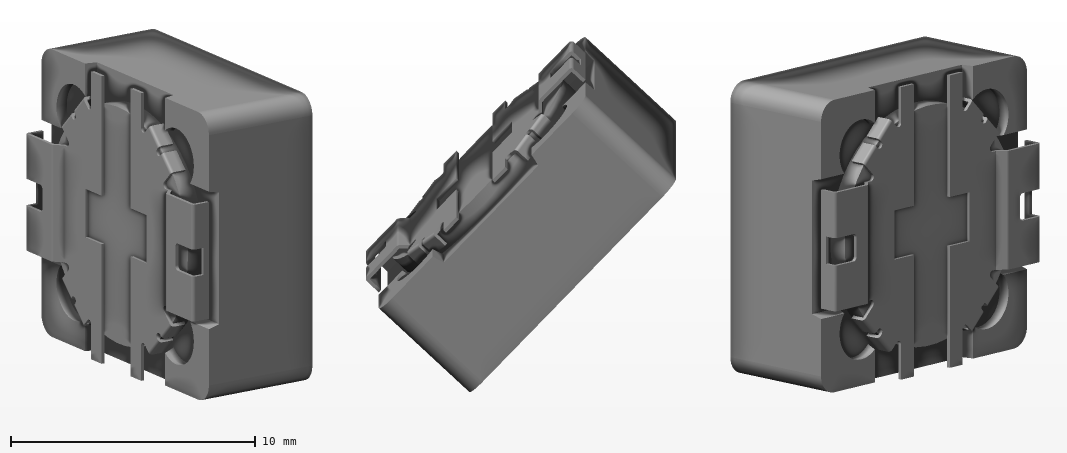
import cadquery as cq
import math


SIDE = 12.3
CORNER_RADIUS = 0.8
SHIELD_DEPTH = 5.1
SHIELD_FRONT_Y = 0.3
DRUM_RADIUS = 5.05
DRUM_DEPTH = 5.5
RECESS_DEPTH = 0.5
CHANNEL_MOUTH_WIDTH = 5.88
CHANNEL_FLOOR_WIDTH = 5.62
POCKET_RADIUS = 1.29
POCKET_OFFSET = 3.75

SHEET = 0.15
HALF = SIDE / 2
PLATE_INNER_X = 1.07
NOTCH_X = 2.24
NOTCH_HALF_HEIGHT = 1.03
ARM_OUTER_X = 1.83
RELIEF_RADIUS = 0.16

TAB_SPANS = [(-0.53, 0.42), (0.74, 1.72)]
TAB_OUTER_DISTANCE = DRUM_RADIUS + SHEET
TAB_TIP_Y = 0.55
TAB_RELIEF_DISTANCE = 4.99

FOOT_HALF_HEIGHT = 2.5
SOLE_Y = -0.5
SOLE_BEND_X = 4.18
SOLE_INNER_Y = SOLE_Y + SHEET
RAMP_END_X = SOLE_BEND_X + SOLE_INNER_Y
RAMP_BEND_SHIFT = SHEET * math.tan(math.radians(22.5))
WINDOW_HALF_HEIGHT = 0.58
WINDOW_INNER_X = 4.88
WINDOW_TOP_Y = 0.02
WINDOW_CORNER_RADIUS = 0.17


def along_y(y_from, y_to, sketch):
    """Extrude a front outline (x, z) from y_from back to y_to."""
    return sketch(cq.Workplane("XZ", origin=(0, y_from, 0))).extrude(y_from - y_to)


def channel(plane):
    """Tapered channel across the whole shield front, along the normal of the plane."""
    floor_y = SHIELD_FRONT_Y + RECESS_DEPTH
    mouth = CHANNEL_MOUTH_WIDTH / 2
    floor = CHANNEL_FLOOR_WIDTH / 2
    section = [
        (-mouth, SHIELD_FRONT_Y),
        (mouth, SHIELD_FRONT_Y),
        (floor, floor_y),
        (-floor, floor_y),
    ]
    if plane == "YZ":
        section = [(y, across) for across, y in section]
    return cq.Workplane(plane).polyline(section).close().extrude(HALF, both=True)


def make_core():
    shield_back_y = SHIELD_FRONT_Y + SHIELD_DEPTH
    floor_y = SHIELD_FRONT_Y + RECESS_DEPTH
    core = along_y(SHIELD_FRONT_Y, shield_back_y, lambda w: w.rect(SIDE, SIDE))
    core = core.edges("|Y").fillet(CORNER_RADIUS)
    core = core.cut(channel("XY")).cut(channel("YZ"))
    offsets = (-POCKET_OFFSET, POCKET_OFFSET)
    pocket_centres = [(x, z) for x in offsets for z in offsets]
    pockets = along_y(SHIELD_FRONT_Y, floor_y, lambda w: w.pushPoints(pocket_centres).circle(POCKET_RADIUS))
    drum = along_y(0, DRUM_DEPTH, lambda w: w.circle(DRUM_RADIUS))
    return core.cut(pockets).union(drum)


def fold_point(along, distance):
    """Point (x, z) of the upper left quarter, given along the fold and out from the middle."""
    return ((along - distance) / math.sqrt(2), (along + distance) / math.sqrt(2))


def polar(centre, degrees):
    """Point on the rim of a slit end, with the angle counted from +X towards +Z."""
    angle = math.radians(degrees)
    return (centre[0] + RELIEF_RADIUS * math.cos(angle), centre[1] + RELIEF_RADIUS * math.sin(angle))


def plate_quarter():
    """Upper half of the left plate, flat on the drum, out to the faces of the tabs."""
    (low_start, low_end), (high_start, high_end) = TAB_SPANS

    arm_slit_x = -ARM_OUTER_X - RELIEF_RADIUS
    arm_slit = (arm_slit_x, math.sqrt(2) * (high_end + RELIEF_RADIUS) - arm_slit_x)
    foot_slit_z = FOOT_HALF_HEIGHT + RELIEF_RADIUS
    foot_slit = (math.sqrt(2) * (low_start - RELIEF_RADIUS) - foot_slit_z, foot_slit_z)
    tab_slit_width = high_start - low_end
    tab_slit_bottom = fold_point((low_end + high_start) / 2, TAB_RELIEF_DISTANCE - tab_slit_width / 2)

    def outline(workplane):
        return (
            workplane.moveTo(-NOTCH_X, 0)
            .lineTo(-NOTCH_X, NOTCH_HALF_HEIGHT)
            .lineTo(-PLATE_INNER_X, NOTCH_HALF_HEIGHT)
            .lineTo(-PLATE_INNER_X, HALF)
            .lineTo(-ARM_OUTER_X, HALF)
            .lineTo(*polar(arm_slit, 0))
            .threePointArc(polar(arm_slit, -67.5), polar(arm_slit, -135))
            .lineTo(*fold_point(high_end, TAB_OUTER_DISTANCE))
            .lineTo(*fold_point(high_start, TAB_OUTER_DISTANCE))
            .lineTo(*fold_point(high_start, TAB_RELIEF_DISTANCE))
            .threePointArc(tab_slit_bottom, fold_point(low_end, TAB_RELIEF_DISTANCE))
            .lineTo(*fold_point(low_end, TAB_OUTER_DISTANCE))
            .lineTo(*fold_point(low_start, TAB_OUTER_DISTANCE))
            .lineTo(*polar(foot_slit, 45))
            .threePointArc(polar(foot_slit, -22.5), polar(foot_slit, -90))
            .lineTo(-RAMP_END_X, FOOT_HALF_HEIGHT)
            .lineTo(-RAMP_END_X, 0)
            .close()
        )

    return along_y(-SHEET, 0, outline)


def tab(span):
    """Lug folded back from the plate along the side of the drum."""
    corners = [
        fold_point(along, distance)
        for along, distance in [
            (span[0], DRUM_RADIUS),
            (span[0], TAB_OUTER_DISTANCE),
            (span[1], TAB_OUTER_DISTANCE),
            (span[1], DRUM_RADIUS),
        ]
    ]
    return along_y(-SHEET, TAB_TIP_Y, lambda w: w.polyline(corners).close())


def round_tab_bends(quarter):
    """Round the outer edge where each tab folds out of the plate."""
    for start, end in TAB_SPANS:
        x, z = fold_point((start + end) / 2, TAB_OUTER_DISTANCE)
        quarter = quarter.edges(cq.selectors.NearestToPointSelector((x, -SHEET, z))).fillet(SHEET)
    return quarter


def foot():
    """Ramp, sole and leg of the left terminal, with the window at the side."""
    section = [
        (-RAMP_END_X, -SHEET),
        (-SOLE_BEND_X, SOLE_Y),
        (-HALF, SOLE_Y),
        (-HALF, SHIELD_FRONT_Y),
        (-HALF + SHEET, SHIELD_FRONT_Y),
        (-HALF + SHEET, SOLE_INNER_Y),
        (-SOLE_BEND_X - RAMP_BEND_SHIFT, SOLE_INNER_Y),
        (-RAMP_END_X - RAMP_BEND_SHIFT, 0),
        (-RAMP_END_X, 0),
    ]
    body = cq.Workplane("XY").polyline(section).close().extrude(FOOT_HALF_HEIGHT, both=True)
    for bend_x in (-HALF, -SOLE_BEND_X):
        body = body.edges(cq.selectors.NearestToPointSelector((bend_x, SOLE_Y, 0))).fillet(SHEET)

    window_length = HALF - WINDOW_INNER_X
    window = along_y(
        SOLE_Y,
        WINDOW_TOP_Y,
        lambda w: w.center(-HALF + window_length / 2, 0).rect(window_length, 2 * WINDOW_HALF_HEIGHT),
    )
    window = window.edges("|Y and >X").fillet(WINDOW_CORNER_RADIUS)
    return body.cut(window)


def make_left_terminal():
    quarter = plate_quarter()
    for span in TAB_SPANS:
        quarter = quarter.union(tab(span))
    quarter = round_tab_bends(quarter.clean())
    return quarter.union(quarter.mirror("XY")).union(foot()).clean()


core = make_core()
left_terminal = make_left_terminal()
right_terminal = left_terminal.mirror("YZ")
terminals = [left_terminal, right_terminal]

result = cq.Compound.makeCompound([core.solids().val(), *[terminal.solids().val() for terminal in terminals]])